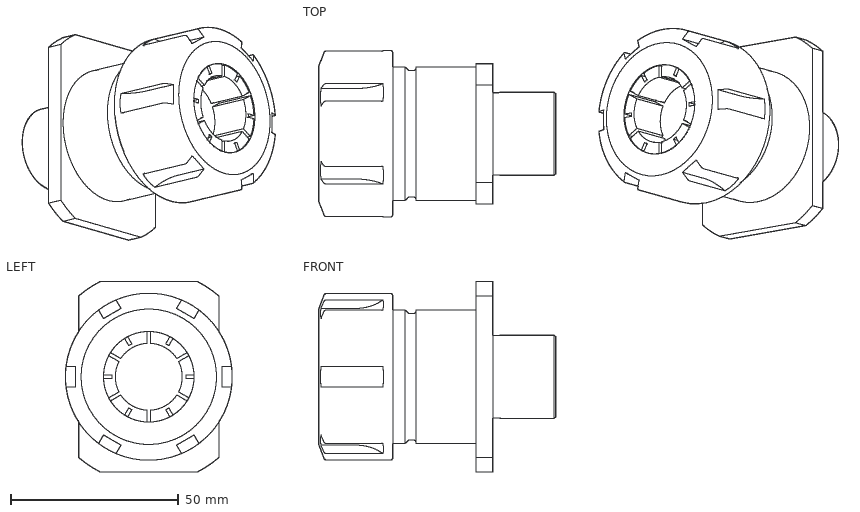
import cadquery as cq
import math

length = 71.0
clearance = 0.7

nut_diameter = 49.95
nut_face_diameter = 40.5
nut_length = 22.2
nut_front_taper = 1.8
nut_front_fillet = 0.85
nut_back_fillet = 0.8

wrench_slot_count = 6
wrench_slot_width = 6.0
wrench_slot_floor_radius = 21.85
wrench_slot_flat_end = 11.3
wrench_slot_end = 19.45

body_diameter = 40.0
groove_diameter = 37.9
groove_chamfer_start = 25.9
groove_chamfer_angle = 45.0
groove_end = 29.1
groove_fillet = 0.7

flange_start = 47.05
flange_thickness = 5.05
flange_width = 42.0
flange_height = 57.0
flange_corner_diameter = 64.0

shank_diameter = 25.0
shank_start = 54.5
shank_end_chamfer = 0.5
neck_diameter = 24.7
neck_end = 53.9
neck_fillet = 0.15
neck_ramp_angle = 15.0

collet_diameter = 27.1
collet_bore_diameter = 20.0
collet_recess = 0.4
collet_bore_end = 13.0
collet_slot_width = 1.1
collet_slot_count = 6
short_slot_inner_radius = 11.1

flange_end = flange_start + flange_thickness
nut_radius = nut_diameter / 2
body_radius = body_diameter / 2
collet_radius = collet_diameter / 2


def disc(diameter, start, end):
    """Cylinder along X from start to end."""
    return cq.Workplane("YZ").workplane(offset=start).circle(diameter / 2).extrude(end - start)


def revolve_about_x(profile):
    """Solid of revolution from a closed profile of (x, radius) points."""
    return profile.close().revolve(360, (0, 0, 0), (1, 0, 0))


def around_axis(shape, count, first_angle=0):
    """Copies of shape spread evenly around the X axis, joined in one workplane."""
    copies = cq.Workplane("YZ")
    for index in range(count):
        angle = first_angle + index * 360 / count
        copies = copies.add(shape.rotate((0, 0, 0), (1, 0, 0), angle))
    return copies.combine()


def arc_point(centre, radius, angle):
    """Point on a circle of the profile, with the angle in degrees from +X."""
    turn = math.radians(angle)
    return (centre[0] + radius * math.cos(turn), centre[1] + radius * math.sin(turn))


def make_nut():
    nut = revolve_about_x(
        cq.Workplane("XY")
        .moveTo(0, 0)
        .lineTo(0, nut_face_diameter / 2)
        .lineTo(nut_front_taper, nut_radius)
        .lineTo(nut_length, nut_radius)
        .lineTo(nut_length, 0)
    )
    reach = nut_radius + clearance
    front_edge = cq.selectors.BoxSelector(
        (nut_front_taper / 2, -reach, -reach), (nut_length / 2, reach, reach), boundingbox=True
    )
    return nut.edges(front_edge).fillet(nut_front_fillet).faces(">X").edges().fillet(nut_back_fillet)


def make_wrench_slots():
    """Slots with a flat floor that curves outward, tangent to the floor, up to the nut's surface."""
    run_out = wrench_slot_end - wrench_slot_flat_end
    rise = nut_radius - wrench_slot_floor_radius
    arc_radius = (run_out**2 + rise**2) / (2 * rise)
    half_sweep = math.asin(run_out / arc_radius) / 2
    arc_middle = (
        wrench_slot_flat_end + arc_radius * math.sin(half_sweep),
        wrench_slot_floor_radius + arc_radius * (1 - math.cos(half_sweep)),
    )
    clear_radius = nut_radius + clearance
    slot = (
        cq.Workplane("XY")
        .moveTo(0, wrench_slot_floor_radius)
        .lineTo(wrench_slot_flat_end, wrench_slot_floor_radius)
        .threePointArc(arc_middle, (wrench_slot_end, nut_radius))
        .lineTo(wrench_slot_end, clear_radius)
        .lineTo(0, clear_radius)
        .close()
        .extrude(wrench_slot_width / 2, both=True)
    )
    return around_axis(slot, wrench_slot_count)


def make_body():
    """Cylinder with a groove that has a sloping front wall, a square back wall and rounded corners."""
    groove_radius = groove_diameter / 2
    groove_depth = body_radius - groove_radius
    chamfer_run = groove_depth / math.tan(math.radians(groove_chamfer_angle))
    front_setback = groove_fillet * math.tan(math.radians(groove_chamfer_angle / 2))
    front_centre = (
        groove_chamfer_start + chamfer_run + front_setback,
        groove_radius + groove_fillet,
    )
    back_centre = (groove_end - groove_fillet, groove_radius + groove_fillet)
    return revolve_about_x(
        cq.Workplane("XY")
        .moveTo(nut_length, 0)
        .lineTo(nut_length, body_radius)
        .lineTo(groove_chamfer_start, body_radius)
        .lineTo(*arc_point(front_centre, groove_fillet, 270 - groove_chamfer_angle))
        .threePointArc(
            arc_point(front_centre, groove_fillet, 270 - groove_chamfer_angle / 2),
            arc_point(front_centre, groove_fillet, 270),
        )
        .lineTo(back_centre[0], groove_radius)
        .threePointArc(
            arc_point(back_centre, groove_fillet, 315),
            arc_point(back_centre, groove_fillet, 360),
        )
        .lineTo(groove_end, body_radius)
        .lineTo(flange_start, body_radius)
        .lineTo(flange_start, 0)
    )


def make_flange():
    plate = (
        cq.Workplane("YZ")
        .workplane(offset=flange_start)
        .rect(flange_width, flange_height)
        .extrude(flange_thickness)
    )
    return plate.intersect(disc(flange_corner_diameter, flange_start, flange_end))


def make_shank():
    """Cylinder with a shallow neck next to the flange, joined by a shallow ramp with a rounded foot."""
    neck_radius = neck_diameter / 2
    shank_radius = shank_diameter / 2
    ramp_angle = math.radians(neck_ramp_angle)
    ramp_foot = shank_start - (shank_radius - neck_radius) / math.tan(ramp_angle)
    foot_radius = (ramp_foot - neck_end) / math.tan(ramp_angle / 2)
    foot_centre = (neck_end, neck_radius + foot_radius)
    corner_centre = (flange_end + neck_fillet, neck_radius + neck_fillet)
    return revolve_about_x(
        cq.Workplane("XY")
        .moveTo(flange_end, 0)
        .lineTo(flange_end, neck_radius + neck_fillet)
        .threePointArc(
            arc_point(corner_centre, neck_fillet, 225),
            arc_point(corner_centre, neck_fillet, 270),
        )
        .lineTo(neck_end, neck_radius)
        .threePointArc(
            arc_point(foot_centre, foot_radius, 270 + neck_ramp_angle / 2),
            arc_point(foot_centre, foot_radius, 270 + neck_ramp_angle),
        )
        .lineTo(shank_start, shank_radius)
        .lineTo(length - shank_end_chamfer, shank_radius)
        .lineTo(length, shank_radius - shank_end_chamfer)
        .lineTo(length, 0)
    )


def make_collet_slots(inner_radius, first_angle):
    """Radial slots from inner_radius out to the collet's rim, as deep as the bore."""
    slot = (
        cq.Workplane("XY")
        .moveTo(0, inner_radius)
        .lineTo(0, collet_radius)
        .lineTo(collet_bore_end, collet_radius)
        .lineTo(collet_bore_end, inner_radius)
        .close()
        .extrude(collet_slot_width / 2, both=True)
    )
    rim = disc(collet_diameter, 0, collet_bore_end)
    return around_axis(slot, collet_slot_count, first_angle).intersect(rim)


half_slot_pitch = 180 / collet_slot_count

result = (
    make_nut()
    .cut(make_wrench_slots())
    .union(make_body())
    .union(make_flange())
    .union(make_shank())
    .cut(disc(collet_diameter, 0, collet_recess))
    .cut(disc(collet_bore_diameter, 0, collet_bore_end))
    .cut(make_collet_slots(0, half_slot_pitch))
    .cut(make_collet_slots(short_slot_inner_radius, 0))
)